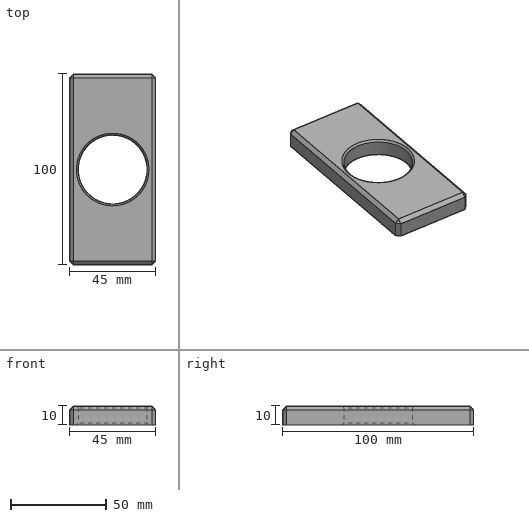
import cadquery as cq

width = 45.0
length = 100.0
thickness = 10.0
edge_chamfer = 2.0

hole_diameter = 36.0
hole_chamfer = 1.0


def chamfered_plate():
    """Plate resting on Z = 0 with its upright and top edges chamfered."""
    plate = cq.Workplane("XY").box(width, length, thickness, centered=(True, True, False))
    return plate.edges("|Z or >Z").chamfer(edge_chamfer)


def hole_cutter():
    """Through bore that widens at both ends to leave chamfered rims."""
    bore_radius = hole_diameter / 2
    rim_radius = bore_radius + hole_chamfer
    half_profile = (
        cq.Workplane("XZ")
        .lineTo(rim_radius, 0)
        .lineTo(bore_radius, hole_chamfer)
        .lineTo(bore_radius, thickness - hole_chamfer)
        .lineTo(rim_radius, thickness)
        .lineTo(0, thickness)
        .close()
    )
    return half_profile.revolve(360, (0, 0, 0), (0, 1, 0))


result = chamfered_plate().cut(hole_cutter())